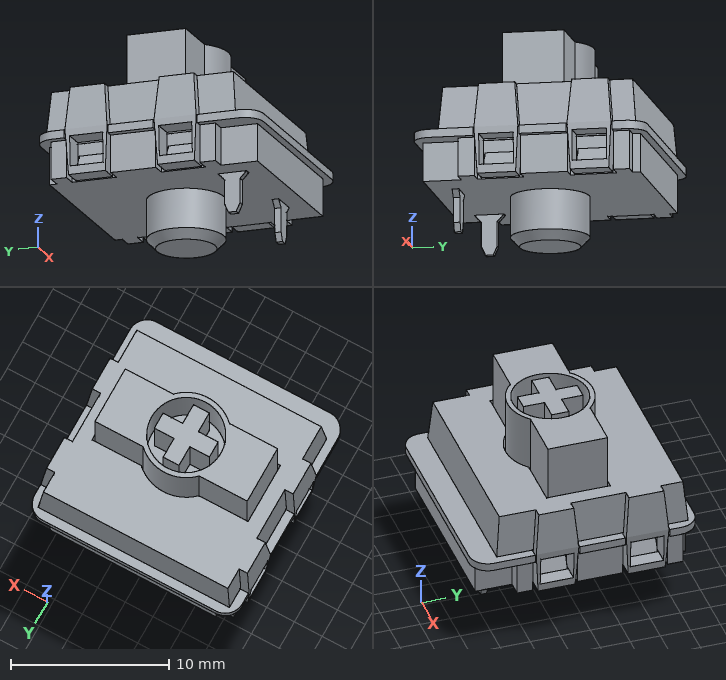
import cadquery as cq

base_height = 2.49
flange_thickness = 0.54
flange_top = base_height + flange_thickness
cover_height = 2.88
cover_top = flange_top + cover_height
stem_top = 9.55

flange_size = 15.0
flange_corner_radius = 1.25
base_half = 7.0
end_half_width = 5.98
front_step_y = -4.55
back_step_y = 6.51

post_diameter = 5.05
post_length = 3.2
post_chamfer = 0.58

cover_half_width = 6.9
cover_front_y = -5.86
cover_back_y = 6.88
cover_draft = 5.0

tab_centers_y = (3.99, -2.01)
tab_width = 2.84
tab_outer_x = flange_size / 2
tab_bottom = 0.08
tab_bottom_inset = 0.18
recess_width = 2.97
recess_floor_x = end_half_width
flange_notch_floor_x = 5.84
window_width = 2.22
window_bottom = 0.63
window_top = 2.6
tooth_width = 2.01
tooth_bottom = 0.74
tooth_top = 1.68
tooth_depth = 0.48

stem_length = 10.98
stem_width = 3.98
stem_barrel_diameter = 5.67
stem_clearance = 0.14
well_diameter = 5.0
cross_span = 3.98
cross_arm = 1.14

pin_thickness = 0.44
pin_width = 1.04
pin_shoulder_width = 1.92
pin_tip_width = 0.52
pin_length = 2.62
pin_shoulder_height = 0.46
pin_tip_height = 0.55

sides = (-1, 1)


def block(x_min, x_max, y_min, y_max, z_min, z_max):
    """Box given by its limits along each axis."""
    size = (x_max - x_min, y_max - y_min, z_max - z_min)
    return cq.Workplane("XY").box(*size, centered=False).translate((x_min, y_min, z_min))


def side_block(side, x_inner, x_outer, center_y, width, z_min, z_max):
    """Box on the -X (side = -1) or +X (side = 1) side, centred on center_y."""
    x_min, x_max = sorted((side * x_inner, side * x_outer))
    return block(x_min, x_max, center_y - width / 2, center_y + width / 2, z_min, z_max)


def make_tooth(side, center_y):
    """Snap tooth: a wedge that grows out of the recess floor towards its lower end."""
    profile = [
        (side * recess_floor_x, tooth_bottom),
        (side * (recess_floor_x + tooth_depth), tooth_bottom),
        (side * recess_floor_x, tooth_top),
    ]
    wedge = cq.Workplane("XZ").polyline(profile).close().extrude(tooth_width / 2, both=True)
    return wedge.translate((0, center_y, 0))


def make_post():
    post = cq.Workplane("XY").circle(post_diameter / 2).extrude(-post_length)
    return post.faces("<Z").chamfer(post_chamfer)


def make_base():
    body = block(-base_half, base_half, front_step_y, back_step_y, 0, base_height)
    ends = block(-end_half_width, end_half_width, -base_half, base_half, 0, base_height)
    flange = (
        cq.Workplane("XY", origin=(0, 0, base_height))
        .rect(flange_size, flange_size)
        .extrude(flange_thickness)
        .edges("|Z")
        .fillet(flange_corner_radius)
    )
    base = body.union(ends).union(flange).union(make_post())
    for side in sides:
        for center_y in tab_centers_y:
            recess = side_block(side, recess_floor_x, tab_outer_x, center_y, recess_width, 0, base_height)
            notch = side_block(
                side, flange_notch_floor_x, tab_outer_x, center_y, recess_width, base_height, flange_top
            )
            base = base.cut(recess).cut(notch).union(make_tooth(side, center_y))
    return base


def stem_outline(offset, z_min, z_max):
    """Bar with a round barrel in its middle, grown by an offset on every side."""
    height = z_max - z_min
    plane = cq.Workplane("XY", origin=(0, 0, z_min))
    bar = plane.rect(stem_length + 2 * offset, stem_width + 2 * offset).extrude(height)
    return bar.union(plane.circle(stem_barrel_diameter / 2 + offset).extrude(height))


def make_tab(side, center_y):
    """Tapered snap tab hanging from the cover, with a window for the tooth."""
    drop = flange_top - tab_bottom
    x_middle = side * (recess_floor_x + tab_outer_x) / 2
    x_size = tab_outer_x - recess_floor_x
    tab = (
        cq.Workplane("XY", origin=(x_middle, center_y, flange_top))
        .rect(x_size, tab_width)
        .workplane(offset=-drop)
        .center(-side * tab_bottom_inset / 2, 0)
        .rect(x_size - tab_bottom_inset, tab_width - 2 * tab_bottom_inset)
        .loft(ruled=True)
    )
    window = side_block(
        side, recess_floor_x, tab_outer_x, center_y, window_width, window_bottom, window_top
    )
    return tab.cut(window)


def drafted_block(x_size, y_min, y_max):
    """Block on top of the flange, centred on X, whose four walls lean inwards."""
    plane = cq.Workplane("XY", origin=(0, (y_min + y_max) / 2, flange_top))
    return plane.rect(x_size, y_max - y_min).extrude(cover_height, taper=cover_draft)


def make_cover():
    cover = drafted_block(2 * cover_half_width, cover_front_y, cover_back_y)
    for center_y in tab_centers_y:
        rib = drafted_block(2 * tab_outer_x, center_y - tab_width / 2, center_y + tab_width / 2)
        cover = cover.union(rib)
        for side in sides:
            cover = cover.union(make_tab(side, center_y))
    return cover.cut(stem_outline(stem_clearance, flange_top, cover_top))


def make_stem():
    """Stem standing on the base, with a cross inside its round well."""
    well_depth = stem_top - cover_top
    plane = cq.Workplane("XY", origin=(0, 0, cover_top))
    well = plane.circle(well_diameter / 2).extrude(well_depth)
    cross = plane.rect(cross_span, cross_arm).extrude(well_depth)
    cross = cross.union(plane.rect(cross_arm, cross_span).extrude(well_depth))
    return stem_outline(0, flange_top, stem_top).cut(well.cut(cross))


def make_pin(center_x, center_y, turn):
    """Flat contact pin under the base, its blade along X and turned about Z."""
    tip_z = -pin_length
    right_side = [
        (pin_shoulder_width / 2, 0),
        (pin_width / 2, -pin_shoulder_height),
        (pin_width / 2, tip_z + pin_tip_height),
        (pin_tip_width / 2, tip_z),
    ]
    left_side = [(-x, z) for x, z in reversed(right_side)]
    blade = cq.Workplane("XZ").polyline(right_side + left_side).close()
    pin = blade.extrude(pin_thickness / 2, both=True)
    return pin.rotate((0, 0, 0), (0, 0, 1), turn).translate((center_x, center_y, 0))


pin_places = [
    (-4.18, -4.72, 90),
    (2.61, -5.4, 0),
]

base = make_base()
cover = make_cover()
stem = make_stem()
pins = [make_pin(*place) for place in pin_places]

result = cq.Compound.makeCompound([base.val(), cover.val(), stem.val(), *[pin.val() for pin in pins]])